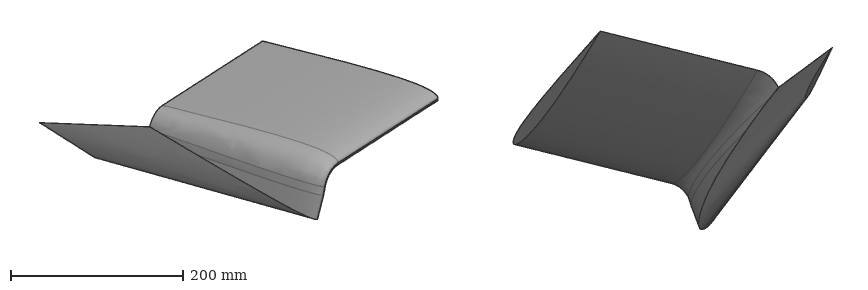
import cadquery as cq
import math

CHORD = 250.5
WING_SPAN = 199.7
MAX_CAMBER = 0.02
CAMBER_PLACE = 0.4
THICKNESS_RATIO = 0.12
SECTION_STEPS = 24

ROOT_TERM = 0.2969
POWER_TERMS = (-0.1260, -0.3516, 0.2843, -0.1036)

BEND_RADIUS = 28.5
BEND_ANGLE = 72
SKIRT_STEP = 10.2
SKIRT_LENGTH = 57.0
SKIRT_END_CHORD = 247.0

JOINT_TRAILING = -3.0
JOINT_LEADING = 40.5

TIP_TRAILING = cq.Vector(-158.0, -25.0, -59.5)
TIP_LEADING = cq.Vector(-77.0, -27.0, -80.5)
TIP_TILT = 40

TRIM_MARGIN = 122.5
TRIM_DEPTH = 122.5


def section_point(station, side):
    """Unit-chord point at a distance from the leading edge; side is 1 (inner) or -1 (outer)."""
    powers = sum(term * station**power for power, term in enumerate(POWER_TERMS, start=1))
    half_thickness = 5 * THICKNESS_RATIO * (ROOT_TERM * math.sqrt(station) + powers)
    reach = CAMBER_PLACE if station < CAMBER_PLACE else 1 - CAMBER_PLACE
    camber = MAX_CAMBER * (1 - ((station - CAMBER_PLACE) / reach) ** 2)
    slope = -2 * MAX_CAMBER * (station - CAMBER_PLACE) / reach**2
    tilt = math.atan(slope)
    along = station - side * half_thickness * math.sin(tilt)
    across = camber + side * half_thickness * math.cos(tilt)
    return 1 - along, -across


def section_wire(trailing, leading, outward, height):
    """Wing section from trailing to leading edge; height scales it along the outward direction."""
    chord = leading - trailing

    def edge(side):
        points = []
        for step in range(SECTION_STEPS + 1):
            station = (1 - math.cos(math.pi * step / SECTION_STEPS)) / 2
            along, across = section_point(station, side)
            points.append(trailing + chord * along + outward * (height * across))
        return cq.Edge.makeSpline(points)

    return cq.Wire.assembleEdges([edge(-1), edge(1)])


def solid_along(wire, path):
    return cq.Solid.extrudeLinear(wire, [], path)


bend = math.radians(BEND_ANGLE)
chord_vector = cq.Vector(CHORD, 0, 0)
skirt_direction = cq.Vector(0, -math.cos(bend), -math.sin(bend))
skirt_outward = cq.Vector(0, -math.sin(bend), math.cos(bend))
bend_center = cq.Vector(0, 0, -BEND_RADIUS)
bend_end = bend_center + skirt_outward * BEND_RADIUS

wing_section = section_wire(cq.Vector(), chord_vector, cq.Vector(0, 0, 1), CHORD)
wing = solid_along(wing_section, cq.Vector(0, WING_SPAN, 0))

bend_solid = cq.Solid.revolve(
    wing_section, [], BEND_ANGLE, bend_center, bend_center + cq.Vector(4, 0, 0)
)

skirt_section = section_wire(bend_end, bend_end + chord_vector, skirt_outward, CHORD)
first_strip = solid_along(skirt_section, skirt_direction * SKIRT_STEP)
skirt_end = bend_end + skirt_direction * SKIRT_LENGTH
skirt_end_section = section_wire(
    skirt_end, skirt_end + cq.Vector(SKIRT_END_CHORD, 0, 0), skirt_outward, SKIRT_END_CHORD
)
second_strip = cq.Solid.makeLoft(
    [skirt_section.translate(skirt_direction * SKIRT_STEP), skirt_end_section], True
)

joint_trailing = bend_end + skirt_direction * JOINT_TRAILING
taper = (JOINT_LEADING - SKIRT_STEP) / (SKIRT_LENGTH - SKIRT_STEP)
joint_length_x = CHORD + (SKIRT_END_CHORD - CHORD) * taper
joint_leading = bend_end + cq.Vector(joint_length_x, 0, 0) + skirt_direction * JOINT_LEADING
joint_chord = joint_leading - joint_trailing
beyond_joint = cq.Workplane(
    cq.Plane(joint_trailing, joint_chord, skirt_outward.cross(joint_chord) * -1)
)
trim = (
    beyond_joint.center(CHORD / 2, 0)
    .rect(CHORD + TRIM_MARGIN, 2 * BEND_RADIUS)
    .extrude(TRIM_DEPTH)
)

tip_chord = TIP_LEADING - TIP_TRAILING
tilt = math.radians(TIP_TILT)
tip_lean = cq.Vector(0, -math.cos(tilt), math.sin(tilt))
tip_normal = tip_chord.cross(tip_lean)
tip_outward = tip_normal.cross(tip_chord).normalized()
joint_section = section_wire(joint_trailing, joint_leading, skirt_outward, joint_length_x)
tip_section = section_wire(TIP_TRAILING, TIP_LEADING, tip_outward, tip_chord.Length)
winglet = cq.Solid.makeLoft([joint_section, tip_section], True)

result = cq.Workplane(wing)
for piece in (bend_solid, first_strip, second_strip):
    result = result.union(cq.Workplane(piece), clean=False)
result = result.cut(trim, clean=False)
result = result.union(cq.Workplane(winglet), clean=False)